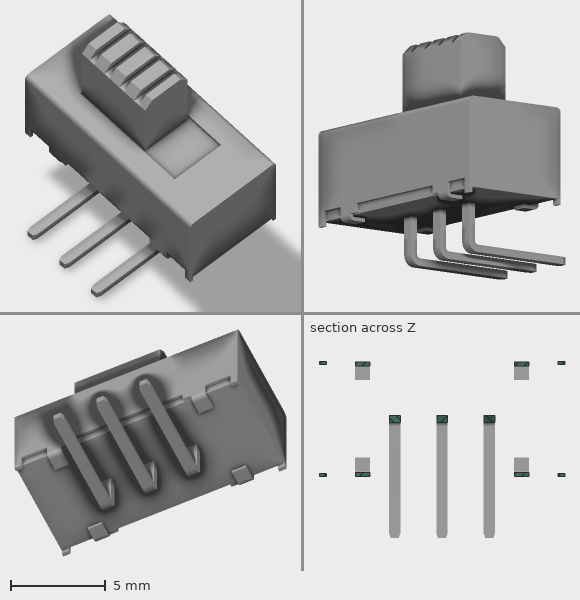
import cadquery as cq


cover_length = 13.0
cover_depth = 6.1
cover_height = 5.2
sheet = 0.2
bend_outer = 0.29
bend_inner = bend_outer - sheet
window_length = 7.46
window_depth = 3.3

leg_length = 0.42
tab_start = 1.9
tab_end = 2.7
lug_end = 3.2
lug_bottom = 0.34
tab_reach = 1.0

plate_thickness = 0.52
plate_bottom = 0.3
plate_top = plate_bottom + plate_thickness

block_depth = cover_depth - 2 * sheet
block_top = cover_height - sheet
knob_length = 4.98
knob_depth = 3.0
knob_rise = 4.0
knob_top = cover_height + knob_rise
knob_left = -window_length / 2
knob_chamfer = 0.5
groove_count = 4
groove_width = 0.39
groove_pitch = 1.17
groove_offset = 0.58

pin_count = 3
pin_pitch = 2.5
pin_width = 0.6
pin_thickness = 0.4
pin_bend_inner = 0.2
pin_bend_outer = pin_bend_inner + pin_thickness
pin_bottom = -2.3
pin_overhang = 3.25
pin_tip_y = -cover_depth / 2 - pin_overhang
tip_length = 0.25
tip_inset = 0.09


def box(x_range, y_range, z_range):
    """Box spanning the given (low, high) ranges."""
    sizes = [high - low for low, high in (x_range, y_range, z_range)]
    corner = (x_range[0], y_range[0], z_range[0])
    return cq.Workplane("XY").box(*sizes, centered=False).translate(corner)


def rounded_top_bar(depth, bottom, top, radius):
    """Bar along the whole length of the cover with its two top edges rounded."""
    bar = box(
        (-cover_length / 2, cover_length / 2),
        (-depth / 2, depth / 2),
        (bottom, top),
    )
    return bar.edges("|X and >Z").fillet(radius)


def make_tab():
    """Tab at the left end of the front wall, bent inward under the plate."""
    wall_y = -cover_depth / 2
    profile = (
        cq.Workplane("YZ", origin=(-cover_length / 2 + tab_start, 0, 0))
        .moveTo(wall_y, bend_outer)
        .radiusArc((wall_y + bend_outer, 0), -bend_outer)
        .lineTo(wall_y + tab_reach, 0)
        .lineTo(wall_y + tab_reach, sheet)
        .lineTo(wall_y + bend_outer, sheet)
        .radiusArc((wall_y + sheet, bend_outer), bend_inner)
        .lineTo(wall_y + sheet, plate_top)
        .lineTo(wall_y, plate_top)
        .close()
    )
    return profile.extrude(tab_end - tab_start)


def make_cover():
    channel = rounded_top_bar(cover_depth, 0, cover_height, bend_outer)
    channel = channel.cut(rounded_top_bar(block_depth, 0, block_top, bend_inner))

    half_gap = cover_length / 2 - leg_length
    across = (-cover_depth / 2, cover_depth / 2)
    cover = channel.cut(box((-half_gap, half_gap), across, (0, plate_top)))

    left = -cover_length / 2
    lug = box(
        (left + tab_end, left + lug_end),
        (-cover_depth / 2, -cover_depth / 2 + sheet),
        (lug_bottom, plate_top),
    )
    left_front = make_tab().union(lug)
    left_pair = left_front.union(left_front.mirror("XZ"))
    cover = cover.union(left_pair).union(left_pair.mirror("YZ"))

    window = box(
        (-window_length / 2, window_length / 2),
        (-window_depth / 2, window_depth / 2),
        (block_top, cover_height),
    )
    return cover.cut(window)


def make_actuator():
    block = rounded_top_bar(block_depth, plate_top, block_top, bend_inner)

    across = (-knob_depth / 2, knob_depth / 2)
    knob = box((knob_left, knob_left + knob_length), across, (block_top, knob_top))
    knob = knob.edges("|X and >Z").chamfer(knob_chamfer)
    for index in range(groove_count):
        start = knob_left + groove_offset + index * groove_pitch
        knob = knob.cut(box((start, start + groove_width), across, (knob_top - knob_chamfer, knob_top)))
    return block.union(knob)


def make_base_plate():
    return box(
        (-cover_length / 2, cover_length / 2),
        (-block_depth / 2, block_depth / 2),
        (plate_bottom, plate_top),
    )


def make_pin(x):
    """Pin hanging from the base plate at x, bent forward and tapered at its tip."""
    back = pin_thickness / 2
    front = -back
    shelf = pin_bottom + pin_thickness
    pin = (
        cq.Workplane("YZ", origin=(x, 0, 0))
        .moveTo(front, plate_bottom)
        .lineTo(back, plate_bottom)
        .lineTo(back, pin_bottom + pin_bend_outer)
        .radiusArc((back - pin_bend_outer, pin_bottom), pin_bend_outer)
        .lineTo(pin_tip_y, pin_bottom)
        .lineTo(pin_tip_y, shelf)
        .lineTo(front - pin_bend_inner, shelf)
        .radiusArc((front, shelf + pin_bend_inner), -pin_bend_inner)
        .close()
        .extrude(pin_width / 2, both=True)
    )
    for side in (-1, 1):
        edge = x + side * pin_width / 2
        corner = (
            cq.Workplane("XY", origin=(0, 0, pin_bottom))
            .moveTo(edge, pin_tip_y)
            .lineTo(edge - side * tip_inset, pin_tip_y)
            .lineTo(edge, pin_tip_y + tip_length)
            .close()
            .extrude(pin_thickness)
        )
        pin = pin.cut(corner)
    return pin


cover = make_cover()
actuator = make_actuator()
base_plate = make_base_plate()
pins = [make_pin((index - (pin_count - 1) / 2) * pin_pitch) for index in range(pin_count)]

result = cq.Compound.makeCompound(
    [body.solids().val() for body in (cover, actuator, base_plate, *pins)]
)